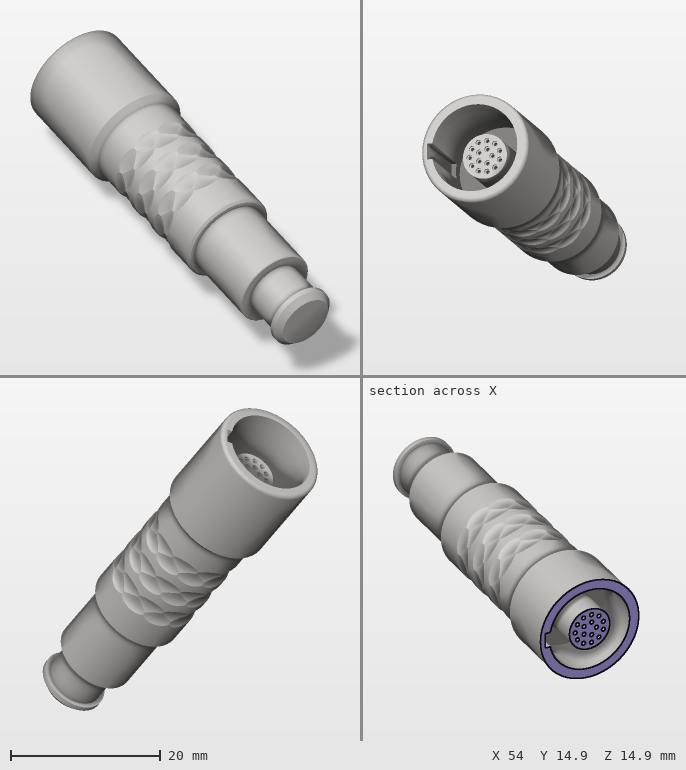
import cadquery as cq

length = 54.0
front_end = 14.05
body_start = 15.0
body_end = 36.0
rear_end = 46.8
flange_start = 52.4

front_radius = 7.45
body_radius = 6.5
rear_radius = 5.45
neck_radius = 3.9
flange_radius = 4.55

front_round = 0.55
body_chamfer = 0.3
rear_chamfer = 0.1
flange_chamfer = 0.85

bore_radius = 6.0
bore_depth = 12.4
slot_length = 10.8
slot_width = 2.15
slot_floor = 6.65

insert_radius = 3.1
insert_face = 4.65

mouth_radius = 0.405
mouth_depth = 0.25
contact_radius = 0.245
contact_depth = 1.1
outer_ring_radius = 2.15
outer_ring_count = 11
inner_ring_radius = 1.0
inner_ring_count = 5

scallop_count = 10
scallop_pitch = 360 / scallop_count
scallop_depth = 0.405
scallop_radius = 2.1
scallop_length = body_radius
first_ring_x = 20.05
ring_offset = 0.95
band_spacing = 4.55
band_count = 3


def turned_body():
    """Revolve the stepped outline about X."""
    outline = (
        cq.Workplane("XY")
        .moveTo(0, 0)
        .lineTo(0, front_radius - front_round)
        .radiusArc((front_round, front_radius), front_round)
        .lineTo(front_end, front_radius)
        .lineTo(body_start, body_radius)
        .lineTo(body_end - body_chamfer, body_radius)
        .lineTo(body_end, body_radius - body_chamfer)
        .lineTo(body_end, rear_radius)
        .lineTo(rear_end - rear_chamfer, rear_radius)
        .lineTo(rear_end, rear_radius - rear_chamfer)
        .lineTo(rear_end, neck_radius)
        .lineTo(flange_start, neck_radius)
        .lineTo(flange_start, flange_radius)
        .lineTo(length - flange_chamfer, flange_radius)
        .lineTo(length, flange_radius - flange_chamfer)
        .lineTo(length, 0)
        .close()
    )
    return outline.revolve(360, (0, 0, 0), (1, 0, 0))


def socket():
    """Bore with the key slot, less the contact insert left standing on its floor."""
    bore = cq.Workplane("YZ").circle(bore_radius).extrude(bore_depth)
    slot = cq.Workplane("XY").box(slot_length, slot_floor, slot_width, centered=(False, False, True))
    insert = (
        cq.Workplane("YZ", origin=(insert_face, 0, 0))
        .circle(insert_radius)
        .extrude(bore_depth - insert_face)
    )
    return bore.union(slot).cut(insert)


def contact_ring(ring_radius, count, start_angle):
    """Ring of stepped contact holes entering the insert face; angles run from +Y."""
    centres = cq.Workplane("YZ", origin=(insert_face, 0, 0)).polarArray(ring_radius, start_angle, 360, count)
    mouths = centres.circle(mouth_radius).extrude(mouth_depth)
    holes = centres.circle(contact_radius).extrude(contact_depth)
    return mouths.union(holes)


def scallop_ring(x, start_angle):
    """Ring of tangential cylinders that dish the grip; angles run from -Y about X."""
    axis_distance = body_radius - scallop_depth + scallop_radius
    cutter = cq.Solid.makeCylinder(
        scallop_radius,
        scallop_length,
        cq.Vector(x, -axis_distance, -scallop_length / 2),
        cq.Vector(0, 0, 1),
    )
    return [
        cutter.rotate(cq.Vector(0, 0, 0), cq.Vector(1, 0, 0), start_angle + i * scallop_pitch)
        for i in range(scallop_count)
    ]


shell = turned_body().val()
for band in range(band_count):
    ring_x = first_ring_x + band * band_spacing
    shell = shell.cut(*scallop_ring(ring_x, 0))
    shell = shell.cut(*scallop_ring(ring_x + ring_offset, scallop_pitch / 2))

part = cq.Workplane(shell).cut(socket())
part = part.cut(contact_ring(outer_ring_radius, outer_ring_count, 0))
part = part.cut(contact_ring(inner_ring_radius, inner_ring_count, 180))

result = cq.Workplane(part.solids().val())